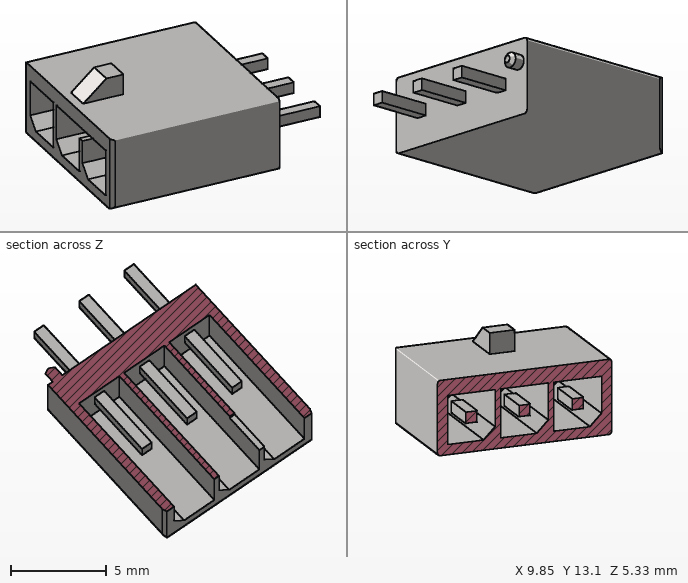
import cadquery as cq

POLE_COUNT = 3
POLE_PITCH = 3.0
BODY_WIDTH = 9.85
BODY_DEPTH = 9.91
BODY_HEIGHT = 4.16
EDGE_RADIUS = 0.19
FRONT_CHAMFER_WIDTH = 0.1
FRONT_CHAMFER_DEPTH = 0.27

PIN_SIZE = 0.64
PIN_HEIGHT = 1.92
PIN_TAIL = 3.18
PIN_RECESS = 4.0

CAVITY_SIZE = 2.66
CAVITY_CHAMFER = 0.65
CAVITY_DEPTH = 8.0
NOTCH_HEIGHT = 0.7
NOTCH_DEPTH = 2.5

LATCH_WIDTH = 1.4
LATCH_HEIGHT = 1.17
LATCH_RAMP_FOOT = 0.54
LATCH_RAMP_TOP = 1.9
LATCH_BACK = 2.9

PEG_DIAMETER = 0.82
PEG_LENGTH = 0.82
PEG_CHAMFER = 0.22
PEG_X = -4.28
PEG_Z = 2.91

CAVITY_TOP = PIN_HEIGHT + CAVITY_SIZE / 2
POLE_X = [(i - (POLE_COUNT - 1) / 2) * POLE_PITCH for i in range(POLE_COUNT)]


def box(width, depth, height, x_centre, y_front, z_bottom):
    """Box centred on x_centre, running back from y_front and up from z_bottom."""
    block = cq.Workplane("XY").box(width, depth, height, centered=(True, False, False))
    return block.translate((x_centre, y_front, z_bottom))


def front_chamfer(side):
    """Wedge that bevels one vertical front edge; side is -1 or +1 along X."""
    side_x = side * BODY_WIDTH / 2
    return (
        cq.Workplane("XY")
        .moveTo(side_x, 0)
        .lineTo(side_x - side * FRONT_CHAMFER_WIDTH, 0)
        .lineTo(side_x, FRONT_CHAMFER_DEPTH)
        .close()
        .extrude(BODY_HEIGHT)
    )


def housing():
    """Block with rounded lengthwise edges and bevelled vertical front edges."""
    block = box(BODY_WIDTH, BODY_DEPTH, BODY_HEIGHT, 0, 0, 0)
    block = block.edges("|Y").fillet(EDGE_RADIUS)
    for side in (-1, 1):
        block = block.cut(front_chamfer(side))
    return block


def cavity(x_centre):
    """Square cavity with its lower -X corner chamfered."""
    z_bottom = CAVITY_TOP - CAVITY_SIZE
    pocket = box(CAVITY_SIZE, CAVITY_DEPTH, CAVITY_SIZE, x_centre, 0, z_bottom)
    return pocket.edges("|Y and <X and <Z").chamfer(CAVITY_CHAMFER)


def wall_notch():
    """Gap at the top of the wall between the last two cavities."""
    x_centre = (POLE_X[-2] + POLE_X[-1]) / 2
    width = POLE_PITCH - CAVITY_SIZE
    return box(width, NOTCH_DEPTH, NOTCH_HEIGHT, x_centre, 0, CAVITY_TOP - NOTCH_HEIGHT)


def pin(x_centre):
    """Straight square pin from inside its cavity out through the rear face."""
    length = BODY_DEPTH + PIN_TAIL - PIN_RECESS
    return box(PIN_SIZE, length, PIN_SIZE, x_centre, PIN_RECESS, PIN_HEIGHT - PIN_SIZE / 2)


def latch():
    """Ramp rising from the front, with a flat top and an upright back."""
    latch_top = BODY_HEIGHT + LATCH_HEIGHT
    return (
        cq.Workplane("YZ")
        .moveTo(LATCH_RAMP_FOOT, BODY_HEIGHT)
        .lineTo(LATCH_RAMP_TOP, latch_top)
        .lineTo(LATCH_BACK, latch_top)
        .lineTo(LATCH_BACK, BODY_HEIGHT)
        .close()
        .extrude(LATCH_WIDTH / 2, both=True)
    )


def peg():
    """Round peg with a chamfered tip."""
    rear_face = cq.Workplane("XZ", origin=(PEG_X, BODY_DEPTH, PEG_Z))
    shaft = rear_face.circle(PEG_DIAMETER / 2).extrude(-PEG_LENGTH)
    return shaft.faces(">Y").chamfer(PEG_CHAMFER)


result = housing()
for pole_x in POLE_X:
    result = result.cut(cavity(pole_x))
result = result.cut(wall_notch())
for pole_x in POLE_X:
    result = result.union(pin(pole_x))
result = result.union(latch()).union(peg())